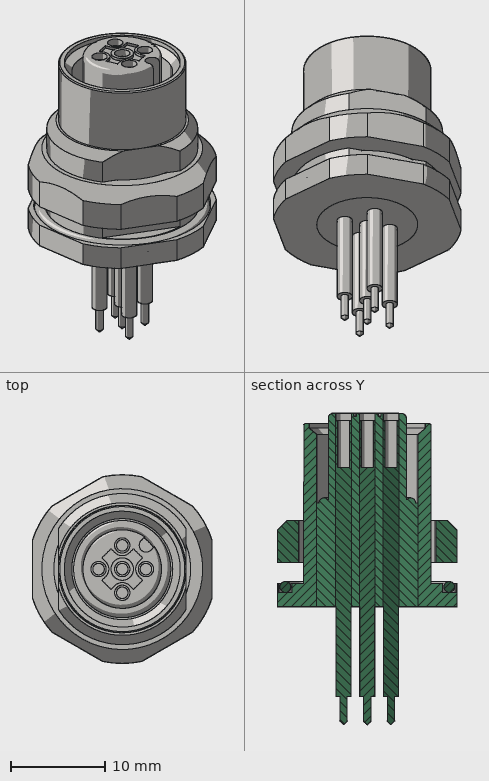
import cadquery as cq
import math


HEX_ACROSS_FLATS = 19.0
HEX_CORNER_DIAMETER = 20.0
FLANGE_HEIGHT = 2.48

BARREL_DIAMETER = 13.5
NECK_DIAMETER = 16.0
NECK_TOP = 12.5
NECK_CHAMFER = 1.0

BARREL_TOP = 19.4
BARREL_RIM_CHAMFER = 0.13
MOUTH_DIAMETER = 12.28
MOUTH_DEPTH = 0.5
CAVITY_DIAMETER = 10.7
MOUTH_CONE_HEIGHT = 0.65
CAVITY_DEPTH = 8.4
CAVITY_FLOOR = BARREL_TOP - CAVITY_DEPTH

NUT_BOTTOM = 4.7
NUT_HEIGHT = 4.45
NUT_CHAMFER = 1.5
NUT_BORE_DIAMETER = 14.5
NUT_TOP = NUT_BOTTOM + NUT_HEIGHT

SEAL_TUBE_RADIUS = 0.6
SEAL_RISE = 0.23
GROOVE_OUTER_DIAMETER = 18.75
GROOVE_FLOOR = FLANGE_HEIGHT + SEAL_RISE - 2 * SEAL_TUBE_RADIUS
SEAL_CENTER_RADIUS = (NECK_DIAMETER + GROOVE_OUTER_DIAMETER) / 4

INSERT_TOP = 20.5
INSERT_DIAMETER = 8.3
INSERT_EDGE_FILLET = 0.5
BEAD_RADIUS = 0.55
BEAD_CENTER_RADIUS = 4.6
KEYWAY_RADIUS = 0.73
KEYWAY_OFFSET = 3.55

CROSS_LENGTH = 4.72
CROSS_DEPTH = 0.3
OUTER_COLLAR_RADIUS = 1.1
CENTER_COLLAR_RADIUS = 1.2

PIN_SPACING = 2.5
PIN_DIAMETER = 1.62
PIN_SINK = 0.8
SOCKET_DIAMETER = 1.22
SOCKET_DEPTH = 4.95
SHOULDER_DROP = 9.5
TAIL_DIAMETER = 0.82
TAIL_TIP_DROP = 12.5

OUTER_PIN_POSITIONS = [(PIN_SPACING, 0), (0, PIN_SPACING), (-PIN_SPACING, 0), (0, -PIN_SPACING)]
PIN_POSITIONS = [(0, 0)] + OUTER_PIN_POSITIONS
DIAGONAL_ANGLE = 45


def cylinder(diameter, bottom, top):
    return cq.Workplane("XY").workplane(offset=bottom).circle(diameter / 2).extrude(top - bottom)


def round_cornered_hexagon(bottom, height, top_chamfer=0):
    """Hexagonal prism with two flats square to X, trimmed by a cylinder that may be chamfered."""
    corner_to_corner = HEX_ACROSS_FLATS / math.cos(math.pi / 6)
    prism = (
        cq.Workplane("XY").workplane(offset=bottom).transformed(rotate=(0, 0, 30))
        .polygon(6, corner_to_corner).extrude(height)
    )
    trim = cylinder(HEX_CORNER_DIAMETER, bottom, bottom + height)
    if top_chamfer:
        trim = trim.faces(">Z").chamfer(top_chamfer)
    return prism.intersect(trim)


def make_ring(center_radius, center_z, tube_radius):
    tube = cq.Workplane("XZ").center(center_radius, center_z).circle(tube_radius)
    return tube.revolve(360, (-center_radius, 0), (-center_radius, 1))


def make_seal():
    return make_ring(SEAL_CENTER_RADIUS, GROOVE_FLOOR + SEAL_TUBE_RADIUS, SEAL_TUBE_RADIUS)


def make_cavity():
    """Through bore that widens in a cone to the mouth of the barrel."""
    cone_top = BARREL_TOP - MOUTH_DEPTH
    return (
        cq.Workplane("XZ")
        .moveTo(0, 0)
        .lineTo(CAVITY_DIAMETER / 2, 0)
        .lineTo(CAVITY_DIAMETER / 2, cone_top - MOUTH_CONE_HEIGHT)
        .lineTo(MOUTH_DIAMETER / 2, cone_top)
        .lineTo(MOUTH_DIAMETER / 2, BARREL_TOP)
        .lineTo(0, BARREL_TOP)
        .close()
        .revolve(360, (0, 0), (0, 1))
    )


def make_housing():
    """Flange, flattened neck and barrel; the neck is turned down where the nut engages it."""
    groove = cylinder(GROOVE_OUTER_DIAMETER, GROOVE_FLOOR, FLANGE_HEIGHT).cut(
        cylinder(NECK_DIAMETER, GROOVE_FLOOR, FLANGE_HEIGHT)
    )
    flange = round_cornered_hexagon(0, FLANGE_HEIGHT).cut(groove)
    flats = cq.Workplane("XY").box(
        BARREL_DIAMETER, NECK_DIAMETER, NECK_TOP, centered=(True, True, False)
    )
    neck = cylinder(NECK_DIAMETER, 0, NECK_TOP).faces(">Z").chamfer(NECK_CHAMFER).intersect(flats)
    nut_seat = cylinder(NECK_DIAMETER, NUT_BOTTOM, NUT_TOP).cut(
        cylinder(NUT_BORE_DIAMETER, NUT_BOTTOM, NUT_TOP)
    )
    neck = neck.cut(nut_seat)
    barrel = cylinder(BARREL_DIAMETER, 0, BARREL_TOP).faces(">Z").chamfer(BARREL_RIM_CHAMFER)
    return flange.union(neck).union(barrel).cut(make_cavity())


def make_nut():
    blank = round_cornered_hexagon(NUT_BOTTOM, NUT_HEIGHT, NUT_CHAMFER)
    return blank.cut(cylinder(NUT_BORE_DIAMETER, NUT_BOTTOM, NUT_TOP))


def make_cross_recess():
    """Cross with a widened middle, interrupted by a round collar at each contact."""
    floor = INSERT_TOP - CROSS_DEPTH
    middle_width = 2 * PIN_SPACING * math.sin(math.radians(DIAGONAL_ANGLE))
    arm_width = middle_width - 2 * OUTER_COLLAR_RADIUS
    sections = [(middle_width, middle_width), (CROSS_LENGTH, arm_width), (arm_width, CROSS_LENGTH)]
    recess = cq.Workplane("XY")
    for length, width in sections:
        section = cq.Workplane("XY").box(length, width, CROSS_DEPTH, centered=(True, True, False))
        recess = recess.union(section)
    recess = recess.rotate((0, 0, 0), (0, 0, 1), DIAGONAL_ANGLE).translate((0, 0, floor))
    recess = recess.cut(cylinder(2 * CENTER_COLLAR_RADIUS, floor, INSERT_TOP))
    for x, y in OUTER_PIN_POSITIONS:
        collar = cylinder(2 * OUTER_COLLAR_RADIUS, floor, INSERT_TOP).translate((x, y, 0))
        recess = recess.cut(collar)
    return recess


def make_keyway():
    """Slot in the side of the insert core with a round inner end, down to the cavity floor."""
    height = INSERT_TOP - CAVITY_FLOOR
    inner_end = cylinder(2 * KEYWAY_RADIUS, CAVITY_FLOOR, INSERT_TOP).translate((KEYWAY_OFFSET, 0, 0))
    opening = (
        cq.Workplane("XY")
        .box(INSERT_DIAMETER / 2, 2 * KEYWAY_RADIUS, height, centered=(False, True, False))
        .translate((KEYWAY_OFFSET, 0, CAVITY_FLOOR))
    )
    return inner_end.union(opening).rotate((0, 0, 0), (0, 0, 1), DIAGONAL_ANGLE)


def make_insert():
    """Core on a base that fills the housing bore, with a round bead at the foot of the core."""
    base = cylinder(CAVITY_DIAMETER, 0, CAVITY_FLOOR)
    core = cylinder(INSERT_DIAMETER, 0, INSERT_TOP).faces(">Z").edges().fillet(INSERT_EDGE_FILLET)
    core = core.cut(make_keyway()).cut(make_cross_recess())
    bead = make_ring(BEAD_CENTER_RADIUS, CAVITY_FLOOR, BEAD_RADIUS)
    pin_holes = (
        cq.Workplane("XY").pushPoints(PIN_POSITIONS).circle(PIN_DIAMETER / 2).extrude(INSERT_TOP)
    )
    return base.union(core).union(bead).cut(pin_holes)


def make_pin(position):
    """Contact with a socket in its top end and a thin, pointed solder tail."""
    top = INSERT_TOP - PIN_SINK
    tail_radius = TAIL_DIAMETER / 2
    pin = (
        cq.Workplane("XZ")
        .moveTo(0, -TAIL_TIP_DROP)
        .lineTo(tail_radius, tail_radius - TAIL_TIP_DROP)
        .lineTo(tail_radius, -SHOULDER_DROP)
        .lineTo(PIN_DIAMETER / 2, -SHOULDER_DROP)
        .lineTo(PIN_DIAMETER / 2, top)
        .lineTo(SOCKET_DIAMETER / 2, top)
        .lineTo(SOCKET_DIAMETER / 2, top - SOCKET_DEPTH)
        .lineTo(0, top - SOCKET_DEPTH)
        .close()
        .revolve(360, (0, 0), (0, 1))
    )
    return pin.translate((position[0], position[1], 0))


seal = make_seal()
housing = make_housing()
nut = make_nut()
insert = make_insert()
pins = [make_pin(position) for position in PIN_POSITIONS]

result = cq.Compound.makeCompound(
    [housing.val(), nut.val(), seal.val(), insert.val(), *[pin.val() for pin in pins]]
)